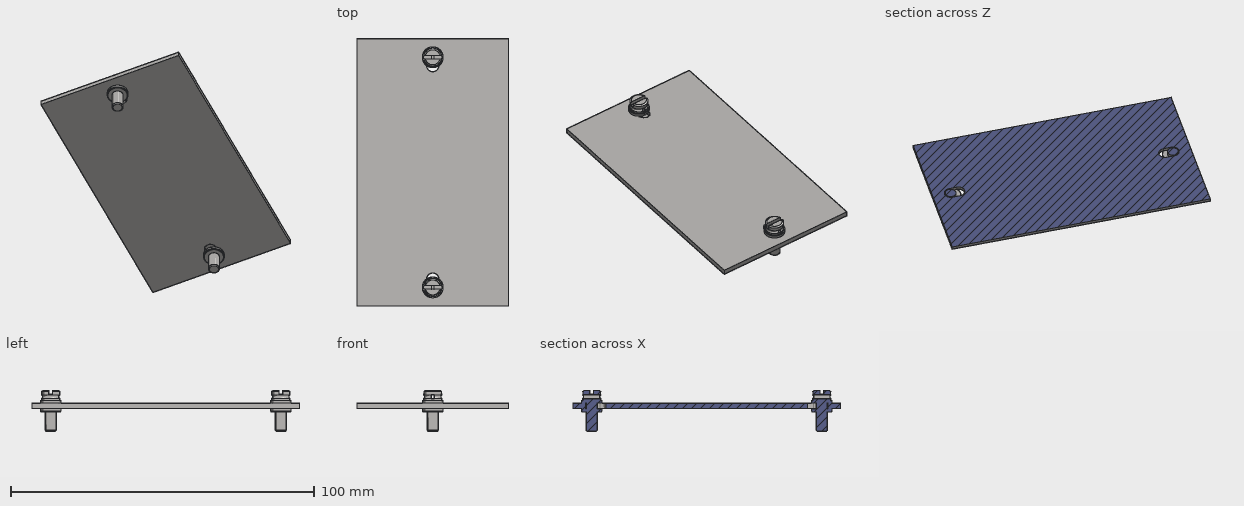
import cadquery as cq

plate_width = 50.0
plate_length = 88.2
plate_thickness = 1.8

screw_edge_distance = 6.2
slot_width = 4.0
slot_travel = 2.7

washer_radius = 3.4
upper_washer_thickness = 0.9
lower_washer_thickness = 1.15
lower_washer_chamfer = 0.3

head_radius = 3.0
collar_height = 0.6
neck_height = 1.2
neck_groove_depth = 0.3
cap_height = 1.5
cap_chamfer_width = 0.5
cap_chamfer_height = 0.35
drive_slot_width = 1.15
drive_slot_depth = 1.2
cross_hole_width = 0.9

shank_radius = 1.85
shank_length = 6.35
shank_chamfer = 0.35

lower_washer_bottom = -lower_washer_thickness
shank_bottom = lower_washer_bottom - shank_length
collar_bottom = plate_thickness + upper_washer_thickness
neck_bottom = collar_bottom + collar_height
cap_bottom = neck_bottom + neck_height
head_top = cap_bottom + cap_height

screw_y = plate_length / 2 - screw_edge_distance


def disc(radius, bottom, height):
    """Vertical cylinder standing on the given level."""
    return cq.Workplane("XY").workplane(offset=bottom).circle(radius).extrude(height)


def make_plate():
    """Flat plate with one slot per screw, each running inward from the screw."""
    plate = cq.Workplane("XY").box(plate_width, plate_length, plate_thickness, centered=(True, True, False))
    for side in (-1, 1):
        slot = (
            cq.Workplane("XY")
            .center(0, side * (screw_y - slot_travel / 2))
            .slot2D(slot_travel + slot_width, slot_width, 90)
            .extrude(plate_thickness)
        )
        plate = plate.cut(slot)
    return plate


def make_head():
    """Turned head with a concave neck, a screwdriver slot along X and a cross hole along Y."""
    head = (
        cq.Workplane("XZ")
        .moveTo(0, collar_bottom)
        .lineTo(head_radius, collar_bottom)
        .lineTo(head_radius, neck_bottom)
        .threePointArc(
            (head_radius - neck_groove_depth, neck_bottom + neck_height / 2),
            (head_radius, cap_bottom),
        )
        .lineTo(head_radius, head_top - cap_chamfer_height)
        .lineTo(head_radius - cap_chamfer_width, head_top)
        .lineTo(0, head_top)
        .close()
        .revolve(360, (0, 0, 0), (0, 1, 0))
    )
    drive_slot = (
        cq.Workplane("XY")
        .workplane(offset=head_top - drive_slot_depth)
        .rect(2 * head_radius, drive_slot_width)
        .extrude(drive_slot_depth)
    )
    cross_hole = (
        cq.Workplane("XY")
        .workplane(offset=neck_bottom)
        .rect(cross_hole_width, 2 * head_radius)
        .extrude(neck_height)
    )
    return head.cut(drive_slot).cut(cross_hole)


def make_screw():
    """Complete screw on the Z axis, with both washers."""
    shank = disc(shank_radius, shank_bottom, collar_bottom - shank_bottom)
    shank = shank.faces("<Z").chamfer(shank_chamfer)
    upper_washer = disc(washer_radius, plate_thickness, upper_washer_thickness)
    lower_washer = disc(washer_radius, lower_washer_bottom, lower_washer_thickness)
    lower_washer = lower_washer.faces("<Z").chamfer(lower_washer_chamfer)
    return shank.union(upper_washer).union(lower_washer).union(make_head())


result = make_plate()
for side in (-1, 1):
    result = result.union(make_screw().translate((0, side * screw_y, 0)))